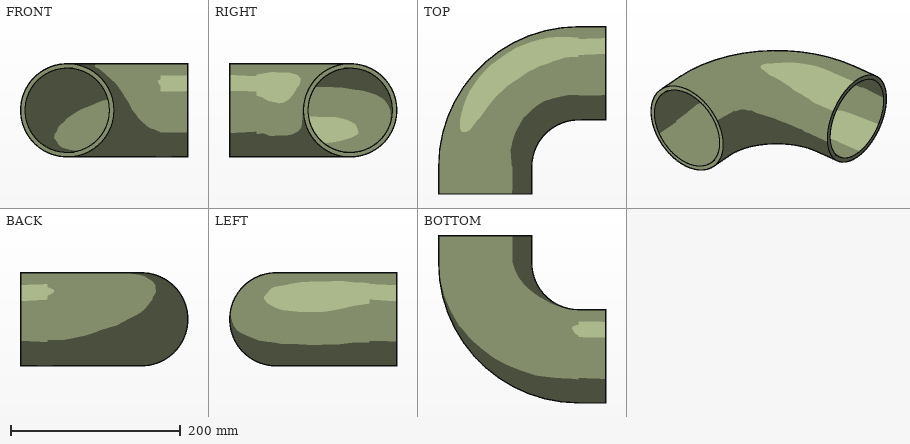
import cadquery as cq

overall_length = 197.0
outer_diameter = 110.0
wall_thickness = 5.3
bend_radius = outer_diameter

outer_radius = outer_diameter / 2
inner_radius = outer_radius - wall_thickness
spigot_length = overall_length - outer_radius - bend_radius


def elbow_body(radius):
    """Solid 90 degree elbow from the -Y mouth, round the bend, to the +X mouth."""
    bend = (
        cq.Workplane("XZ")
        .circle(radius)
        .revolve(90, (bend_radius, 0), (bend_radius, -1))
    )
    inlet = cq.Workplane("XZ").circle(radius).extrude(spigot_length)
    outlet = (
        cq.Workplane("YZ", origin=(bend_radius, bend_radius, 0))
        .circle(radius)
        .extrude(spigot_length)
    )
    return bend.union(inlet).union(outlet)


result = elbow_body(outer_radius).cut(elbow_body(inner_radius))